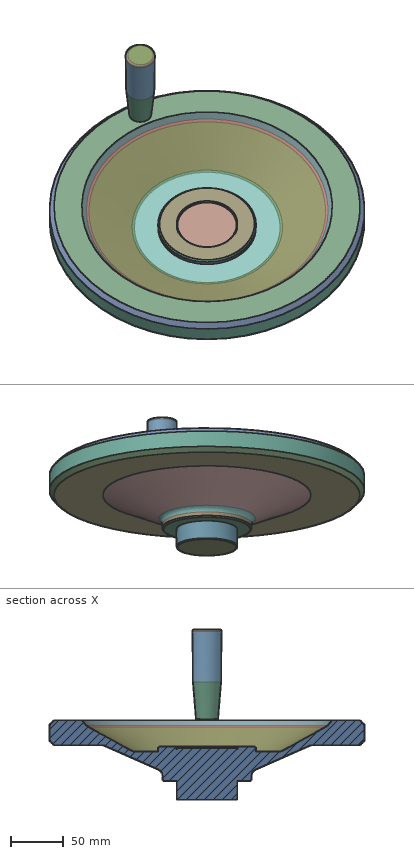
import cadquery as cq
import math

wheel_diameter = 300.0
overall_height = 162.4

flange_bottom = 18.0
rim_bottom = 52.0
rim_height = 24.0
rim_top = rim_bottom + rim_height
floor_level = 46.2
boss_top = 51.0

rim_radius = wheel_diameter / 2
rim_chamfer = 4.4
rim_inner_radius = 119.2
lip_radius = 115.0
lip_depth = 5.0

dish_outer_radius = 112.7
dish_outer_depth = 6.5
dish_inner_radius = 71.6
floor_radius = 69.3
dish_inner_rise = 0.6
cone_outer_radius = 99.0
cone_angle = math.radians(23.8)

boss_radius = 93.4 / 2
boss_chamfer = 1.5
flange_radius = 85.16 / 2
neck_fillet = 6.0
flange_chamfer = 1.4

bushing_radius = 58.0 / 2
bushing_end_radius = 56.1 / 2
bushing_chamfer = bushing_radius - bushing_end_radius
bushing_recess = 1.5
bushing_top = boss_top - bushing_recess

handle_offset = 132.6
handle_radius = 14.1
handle_base_radius = 10.7
handle_waist_radius = 13.6
handle_waist_level = 112.5
handle_gap = 1.0
handle_bottom = rim_top + handle_gap
handle_top_fillet = 2.0
pin_radius = 14.0 / 2
pin_depth = 12.0


def revolve_about_z(profile):
    """Turn a closed half profile in the XZ plane into a full solid of revolution."""
    return profile.revolve(360, (0, 0, 0), (0, 1, 0))


def make_wheel():
    """Rim, dish and hub as one revolved body, before the hub is bored."""
    cone_drop = (cone_outer_radius - flange_radius) * math.tan(cone_angle)
    neck_level = rim_bottom - cone_drop
    profile = (
        cq.Workplane("XZ")
        .moveTo(0, flange_bottom)
        .lineTo(flange_radius - flange_chamfer, flange_bottom)
        .lineTo(flange_radius, flange_bottom + flange_chamfer)
        .lineTo(flange_radius, neck_level)
        .lineTo(cone_outer_radius, rim_bottom)
        .lineTo(rim_radius - rim_chamfer, rim_bottom)
        .lineTo(rim_radius, rim_bottom + rim_chamfer)
        .lineTo(rim_radius, rim_top - rim_chamfer)
        .lineTo(rim_radius - rim_chamfer, rim_top)
        .lineTo(rim_inner_radius, rim_top)
        .lineTo(lip_radius, rim_top - lip_depth)
        .lineTo(dish_outer_radius, rim_top - dish_outer_depth)
        .lineTo(dish_inner_radius, floor_level + dish_inner_rise)
        .lineTo(floor_radius, floor_level)
        .lineTo(boss_radius, floor_level)
        .lineTo(boss_radius, boss_top - boss_chamfer)
        .lineTo(boss_radius - boss_chamfer, boss_top)
        .lineTo(0, boss_top)
        .close()
    )
    wheel = revolve_about_z(profile)
    box_reach = 0.5
    neck_edge = cq.selectors.BoxSelector(
        (-box_reach, -box_reach, neck_level - box_reach),
        (box_reach, box_reach, neck_level + box_reach),
    )
    return wheel.edges(neck_edge).fillet(neck_fillet)


def make_bushing():
    """Plain cylinder with both ends chamfered."""
    return (
        cq.Workplane("XY")
        .circle(bushing_radius)
        .extrude(bushing_top)
        .faces("<Z or >Z")
        .chamfer(bushing_chamfer)
    )


def make_bore():
    """Through bore of the hub that receives the bushing."""
    return cq.Workplane("XY").circle(bushing_radius).extrude(boss_top)


def make_handle():
    """Revolved grip standing on a pin that is sunk into the rim."""
    profile = (
        cq.Workplane("XZ")
        .moveTo(0, rim_top - pin_depth)
        .lineTo(pin_radius, rim_top - pin_depth)
        .lineTo(pin_radius, handle_bottom)
        .lineTo(handle_base_radius, handle_bottom)
        .lineTo(handle_waist_radius, handle_waist_level)
        .lineTo(handle_radius, overall_height - handle_top_fillet)
        .tangentArcPoint((handle_radius - handle_top_fillet, overall_height), relative=False)
        .lineTo(0, overall_height)
        .close()
    )
    return revolve_about_z(profile).translate((-handle_offset, 0, 0))


result = make_wheel().cut(make_bore()).union(make_bushing()).union(make_handle())